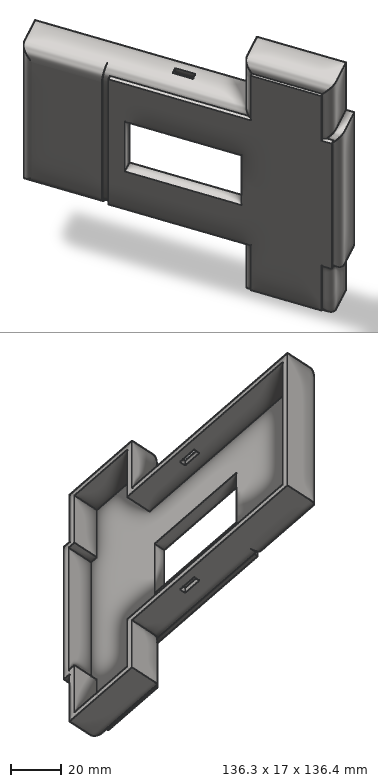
import cadquery as cq

length = 136.3
height = 136.4
depth = 17.0
body_height = 79.7
arm_left = 94.7
arm_right = 132.7
wall = 3.0
front_thickness = 5.2

plate_raise = 1.1
body_depth = depth - plate_raise
body_radius = 5.0
plate_left = 37.8
plate_right = 133.2
plate_side_margin = 2.3
arm_plate_margin = 4.0
plate_root = 4.1

block_length = 35.0
block_radius = 5.3

window_left = 44.9
window_right = arm_left
window_height = 29.7

slot_left = 61.3
slot_right = 69.9
slot_back = 3.8
slot_front = 6.5


def centred_box(left, right, box_height, back, front):
    """Box centred on Z = 0; back and front are distances from the open back."""
    return (
        cq.Workplane("XY")
        .box(right - left, front - back, box_height, centered=(False, False, True))
        .translate((left, -front, 0))
    )


def rounded_bar(left, right, bar_height):
    """Bar with all of its front edges rounded."""
    bar = centred_box(left, right, bar_height, 0, body_depth)
    return bar.faces("<Y").edges().fillet(body_radius)


def end_block():
    """Left block, rounded along its front edges except beside the plate."""
    block = centred_box(0, block_length, body_height, 0, depth)
    return block.faces("<Y").edges("not(>X)").fillet(block_radius)


def front_plate():
    """Cross-shaped plate sunk into the rounded body."""
    back = depth - plate_root
    main = centred_box(plate_left, plate_right, body_height - 2 * plate_side_margin, back, depth)
    arms = centred_box(
        arm_left + arm_plate_margin,
        arm_right - arm_plate_margin,
        height - 2 * arm_plate_margin,
        back,
        depth,
    )
    return main.union(arms)


def cavity():
    """Cross-shaped hollow, open at the back."""
    front = depth - front_thickness
    main = centred_box(wall, length - wall, body_height - 2 * wall, 0, front)
    arms = centred_box(arm_left + wall, arm_right - wall, height - 2 * wall, 0, front)
    return main.union(arms)


body = rounded_bar(0, length, body_height)
arms = rounded_bar(arm_left, arm_right, height)
window = centred_box(window_left, window_right, window_height, 0, depth)
slots = centred_box(slot_left, slot_right, body_height, slot_back, slot_front)

result = (
    body.union(arms)
    .union(end_block())
    .union(front_plate())
    .cut(cavity())
    .cut(window)
    .cut(slots)
)